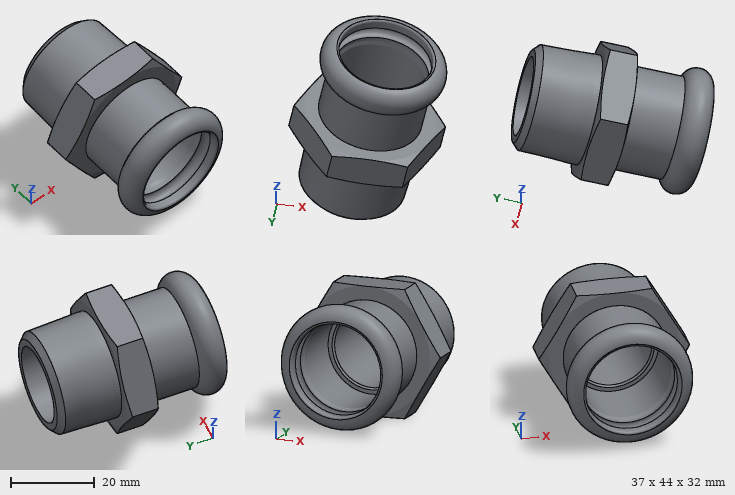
import cadquery as cq
import math

length = 44.0
hex_start = 19.98
hex_end = 28.0
thread_taper_start = 29.55
thread_chamfer_start = 42.45

bead_radius = 15.4
bead_section_radius = 3.75
mouth_face_radius = 12.05
tube_radius = 25.3 / 2
thread_base_radius = 26.9 / 2
thread_small_radius = 13.0
thread_end_radius = 11.45
hex_across_flats = 32.0
hex_chamfer_angle = 15.0

lip_radius = 11.45
lip_round_end = 0.65
groove_radius = 13.38
groove_start = 2.38
groove_end = 5.45
lead_in_start = 6.6
lead_in_end = 7.65
socket_radius = 22.3 / 2
socket_depth = 22.0
stop_chamfer_radius = 10.1
bore_radius = 19.3 / 2


def revolve_about_y(profile):
    return profile.close().revolve(360, (0, 0, 0), (0, 1, 0))


def make_outer_body():
    """Bead, tube and tapered thread as one solid of revolution."""
    bead_centre = bead_radius - bead_section_radius
    bead_end = bead_section_radius + math.sqrt(
        bead_section_radius**2 - (tube_radius - bead_centre)**2
    )
    bead_face = bead_section_radius - math.sqrt(
        bead_section_radius**2 - (mouth_face_radius - bead_centre)**2
    )
    profile = (
        cq.Workplane("XY")
        .lineTo(mouth_face_radius, 0)
        .lineTo(mouth_face_radius, bead_face)
        .threePointArc((bead_radius, bead_section_radius), (tube_radius, bead_end))
        .lineTo(tube_radius, hex_end)
        .lineTo(thread_base_radius, hex_end)
        .lineTo(thread_base_radius, thread_taper_start)
        .lineTo(thread_small_radius, thread_chamfer_start)
        .lineTo(thread_end_radius, length)
        .lineTo(0, length)
    )
    return revolve_about_y(profile)


def make_hexagon():
    """Wrench hexagon with corners on X, its corners chamfered at both ends."""
    across_corners = hex_across_flats / math.cos(math.pi / 6)
    prism = (
        cq.Workplane("XZ", origin=(0, hex_start, 0))
        .polygon(6, across_corners)
        .extrude(hex_start - hex_end)
    )
    face_radius = hex_across_flats / 2
    corner_radius = across_corners / 2
    drop = (corner_radius - face_radius) * math.tan(math.radians(hex_chamfer_angle))
    envelope = (
        cq.Workplane("XY")
        .moveTo(0, hex_start)
        .lineTo(face_radius, hex_start)
        .lineTo(corner_radius, hex_start + drop)
        .lineTo(corner_radius, hex_end - drop)
        .lineTo(face_radius, hex_end)
        .lineTo(0, hex_end)
    )
    return prism.intersect(revolve_about_y(envelope))


def make_cavity():
    """Seal groove, pipe socket, chamfered pipe stop and through bore."""
    stop_chamfer_end = socket_depth + stop_chamfer_radius - bore_radius
    groove_middle = (groove_start + groove_end) / 2
    lip_round = mouth_face_radius - lip_radius
    round_middle = (
        mouth_face_radius - lip_round * math.sin(math.pi / 4),
        lip_round_end * (1 - math.cos(math.pi / 4)),
    )
    profile = (
        cq.Workplane("XY")
        .lineTo(mouth_face_radius, 0)
        .threePointArc(round_middle, (lip_radius, lip_round_end))
        .lineTo(lip_radius, groove_start)
        .threePointArc((groove_radius, groove_middle), (lip_radius, groove_end))
        .lineTo(lip_radius, lead_in_start)
        .lineTo(socket_radius, lead_in_end)
        .lineTo(socket_radius, socket_depth)
        .lineTo(stop_chamfer_radius, socket_depth)
        .lineTo(bore_radius, stop_chamfer_end)
        .lineTo(bore_radius, length)
        .lineTo(0, length)
    )
    return revolve_about_y(profile)


result = make_outer_body().union(make_hexagon()).cut(make_cavity())